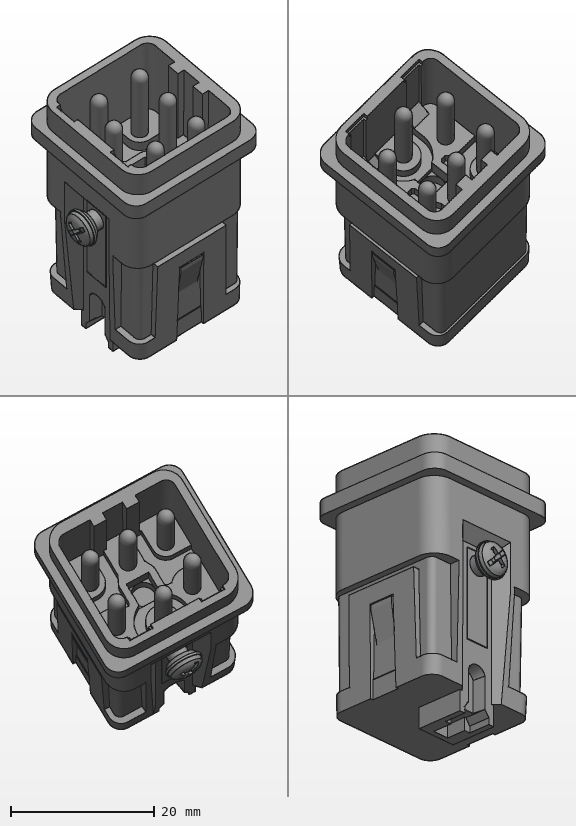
import cadquery as cq
import math

total_height = 41.1
total_depth = 24.55
rim_z = 40.95
flange_top_z = 36.93
flange_bottom_z = 34.38
cavity_floor_z = 28.05
body_bottom_z = 22.15
front_draft_z = 21.3
panel_top_z = 20.9
base_top_z = 6.58
base_bottom_z = 3.37
root_overlap = 0.4

flange_side = 23.6
flange_radius = 2.25
body_side = 20.97
body_radius = 3.1
body_front_y = -body_side / 2
draft_end_y = -9.55

column_half_x = 9.38
column_back_y = 9.83
column_front_y = -8.85
column_draft = 0.15
column_radius = 1.03

base_back_y = 10.15
base_radius = 2.0

front_pad_top_half = 5.65
front_pad_bottom_half = 5.22

panel_top_half_x = 10.4
panel_bottom_half_x = 10.0
panel_top_half_y = 6.3
panel_bottom_half_y = 6.55
channel_top_z = 18.05
channel_top_half = 2.2
channel_bottom_half = 2.45
channel_floor_x = 9.4
channel_base_floor_x = 9.55
latch_top_z = 17.85
latch_edge_z = 17.0
latch_bottom_z = 11.85
latch_top_half = 2.0
latch_bottom_half = 1.8

recess_half = 2.95
recess_top_z = 27.0
recess_flare = 1.85
tongue_front_y = -8.55
tongue_back_y = -0.65
tongue_half = 3.4
recess_depth = tongue_front_y - body_front_y
plate_half = 2.0
plate_bottom_z = 11.85
plate_top_z = 26.25
plate_thickness = 0.15

entry_half = 1.65
entry_shoulder_z = 7.3
entry_top_z = 8.5
entry_depth = 2.05
entry_taper = 8.0
entry_flare_half = 2.43
entry_flare_z = 1.05
entry_straight_z = 2.1
entry_flare_depth = 3.7
wire_hole_half = 1.4
wire_hole_depth = 7.0

screw_z = 23.97
screw_shank_radius = 1.55
screw_tip_y = flange_side / 2 - total_depth
screw_shank_root_y = -7.4
screw_flat_radius = 1.2
screw_head_back_y = -10.35
screw_head_back_radius = 2.2
screw_rim_back_y = -11.1
screw_rim_front_y = -11.47
screw_rim_radius = 2.85
screw_shoulder_radius = 2.67
screw_dome_edge_y = -12.05
screw_dome_edge_radius = 2.55
screw_dome_middle = (2.0, -12.5)
screw_drive_width = 0.7
screw_slot_length = 4.35
screw_slot_depth = 0.4
screw_cross_depth = 1.03
screw_cross_top_half = 1.7
screw_cross_bottom_half = screw_drive_width / 2

cavity_rim_size = (18.5, 17.6)
cavity_floor_size = (17.95, 17.35)
cavity_radius = 1.45
key_rib_inner_x = 1.6
key_rib_outer_x = 3.65
key_rib_front_y = 7.65
groove_floor_z = 26.4
groove_back_x = 2.15
groove_middle_x = 2.85
groove_jog_back_y = 3.55
groove_jog_front_y = 2.05
groove_tip_x = 3.85
groove_tip_chamfer = 0.3

pin_radius = 1.25
pin_flat_radius = 0.2
pin_tip_z = 40.05
pin_x = 6.1
pin_back_y = 4.45
pin_middle_y = -3.05
earth_pin_y = -5.5
earth_wall_inner_radius = 2.45
earth_wall_outer_radius = 4.1
earth_ramp_start_y = -7.35
back_well_radius = 2.15
middle_well_radius = 2.9
middle_well_arc_angle = 112

socket_side = 3.58
socket_floor_z = 25.5
socket_bore_floor_z = 23.45

window_inner_x = 4.25
window_outer_x = 7.3
window_ramp_y = -7.25
window_wall_y = -9.15
window_ramp_rise = 1.25
notch_wall_y = -9.45
notch_overhang = 0.33
notch_depth = 0.82


def rounded_rect(x_size, y_size, radius):
    return cq.Sketch().rect(x_size, y_size).vertices().fillet(radius)


def drafted_block(lower, upper, z_low, z_high, radius):
    """Loft between two (half_x, front_y, back_y) rounded rectangles."""
    sections = []
    for (half_x, front_y, back_y), z in ((lower, z_low), (upper, z_high)):
        section = rounded_rect(2 * half_x, back_y - front_y, radius)
        sections.append(section.moved(cq.Location(cq.Vector(0, (front_y + back_y) / 2, z))))
    return cq.Workplane("XY").placeSketch(*sections).loft()


def square_block(side, radius, z_low, z_high):
    plane = cq.Workplane("XY", origin=(0, 0, z_low))
    return plane.placeSketch(rounded_rect(side, side, radius)).extrude(z_high - z_low)


def box_between(x_range, y_range, z_range):
    (x0, x1), (y0, y1), (z0, z1) = x_range, y_range, z_range
    return cq.Workplane("XY").box(x1 - x0, y1 - y0, z1 - z0, centered=False).translate((x0, y0, z0))


def trapezoid(plane, bottom_half, top_half, z_low, z_high, length):
    """Trapezoid symmetric about Z, extruded both ways along the plane normal."""
    outline = [(-bottom_half, z_low), (bottom_half, z_low), (top_half, z_high), (-top_half, z_high)]
    return cq.Workplane(plane).polyline(outline).close().extrude(length / 2, both=True)


def profile_along_x(points, x0, x1):
    """Closed (y, z) outline extruded from x0 to x1."""
    return cq.Workplane("YZ", origin=(x0, 0, 0)).polyline(points).close().extrude(x1 - x0)


def both_sides(shape):
    return shape.union(shape.mirror("YZ"))


def front_draft_y(z):
    fraction = (front_draft_z - z) / (front_draft_z - base_bottom_z)
    return body_front_y + fraction * (draft_end_y - body_front_y)


def panel_half_x(z):
    fraction = (z - base_bottom_z) / (panel_top_z - base_bottom_z)
    return panel_bottom_half_x + fraction * (panel_top_half_x - panel_bottom_half_x)


def make_housing():
    body = square_block(body_side, body_radius, body_bottom_z, rim_z)
    flange = square_block(flange_side, flange_radius, flange_bottom_z, flange_top_z)
    column = drafted_block(
        (column_half_x - column_draft, column_front_y + column_draft, column_back_y),
        (column_half_x, column_front_y, column_back_y),
        base_top_z, body_bottom_z, column_radius,
    )
    base = drafted_block(
        (panel_bottom_half_x, front_draft_y(base_bottom_z), base_back_y),
        (panel_half_x(base_top_z), front_draft_y(base_top_z), base_back_y),
        base_bottom_z, base_top_z, base_radius,
    )
    pad_side = [
        (0, base_top_z),
        (front_draft_y(base_top_z), base_top_z),
        (body_front_y, front_draft_z),
        (body_front_y, body_bottom_z),
        (0, body_bottom_z),
    ]
    pad = trapezoid("XZ", front_pad_bottom_half, front_pad_top_half, base_top_z, body_bottom_z, body_side)
    pad = pad.intersect(profile_along_x(pad_side, -body_side / 2, body_side / 2))
    return body.union(flange).union(column).union(base).union(pad)


def make_side_panels():
    panel = trapezoid("XZ", panel_bottom_half_x, panel_top_half_x, base_bottom_z, panel_top_z, body_side)
    return panel.intersect(
        trapezoid("YZ", panel_bottom_half_y, panel_top_half_y, base_bottom_z, panel_top_z, body_side)
    )


def make_latch_channels():
    channel = trapezoid("YZ", channel_bottom_half, channel_top_half, base_bottom_z, channel_top_z, body_side)
    y_range = (-body_side / 2, body_side / 2)
    upper = box_between((channel_floor_x, body_side), y_range, (base_top_z, channel_top_z))
    lower = box_between((channel_base_floor_x, body_side), y_range, (base_bottom_z, base_top_z))
    return both_sides(channel.intersect(upper.union(lower)))


def make_latches():
    """Hooks in the side channels: a square top edge and a ramp running down."""
    root_x = channel_floor_x - root_overlap
    hook = (
        cq.Workplane("XZ")
        .polyline([
            (root_x, latch_top_z), (panel_top_half_x, latch_top_z), (panel_top_half_x, latch_edge_z),
            (channel_floor_x, latch_bottom_z), (root_x, latch_bottom_z),
        ])
        .close()
        .extrude(channel_bottom_half, both=True)
    )
    width = trapezoid("YZ", latch_bottom_half, latch_top_half, latch_bottom_z, latch_top_z, flange_side)
    return both_sides(hook.intersect(width))


def make_front_recess():
    """Sloped-wall recess open at the bottom, with a thin raised plate on its floor."""
    height = recess_top_z
    recess = (
        cq.Workplane("XZ", origin=(0, tongue_front_y, 0))
        .center(0, height / 2)
        .rect(2 * recess_half, height)
        .workplane(offset=recess_depth)
        .rect(2 * (recess_half + recess_flare), height + 2 * recess_flare)
        .loft()
    )
    plate = box_between(
        (-plate_half, plate_half),
        (tongue_front_y - plate_thickness, tongue_front_y),
        (plate_bottom_z, plate_top_z),
    )
    return recess.cut(plate)


def make_tongue():
    return box_between((-tongue_half, tongue_half), (tongue_front_y, tongue_back_y), (0, base_bottom_z))


def make_wire_entry():
    """Arched slot in the front of the tongue, flared and deepened at the bottom."""
    front = cq.Workplane("XZ", origin=(0, tongue_front_y, 0))
    arch = (
        front.moveTo(-entry_half, 0)
        .lineTo(-entry_half, entry_shoulder_z)
        .threePointArc((0, entry_top_z), (entry_half, entry_shoulder_z))
        .lineTo(entry_half, 0)
        .close()
        .extrude(-entry_depth, taper=entry_taper)
    )
    flare = (
        front.moveTo(-entry_flare_half, 0)
        .lineTo(-entry_flare_half, entry_flare_z)
        .lineTo(-entry_half, entry_straight_z)
        .lineTo(entry_half, entry_straight_z)
        .lineTo(entry_flare_half, entry_flare_z)
        .lineTo(entry_flare_half, 0)
        .close()
        .extrude(-entry_flare_depth)
    )
    wire_hole = box_between(
        (-wire_hole_half, wire_hole_half),
        (tongue_front_y, tongue_front_y + wire_hole_depth),
        (0, entry_straight_z),
    )
    return arch.union(flare).union(wire_hole)


def make_screw():
    """Pan-head screw pointing along -Y with a combined slot and cross drive."""
    head = (
        cq.Workplane("XY")
        .moveTo(0, screw_shank_root_y)
        .lineTo(screw_shank_radius, screw_shank_root_y)
        .lineTo(screw_shank_radius, screw_head_back_y)
        .lineTo(screw_head_back_radius, screw_head_back_y)
        .lineTo(screw_rim_radius, screw_rim_back_y)
        .lineTo(screw_rim_radius, screw_rim_front_y)
        .lineTo(screw_shoulder_radius, screw_rim_front_y)
        .lineTo(screw_dome_edge_radius, screw_dome_edge_y)
        .threePointArc(screw_dome_middle, (screw_flat_radius, screw_tip_y))
        .lineTo(0, screw_tip_y)
        .close()
        .revolve(360, (0, 0, 0), (0, 1, 0))
    )
    slot = cq.Workplane("XY").box(screw_slot_length, 2 * screw_slot_depth, screw_drive_width)
    slot = slot.translate((0, screw_tip_y, 0))
    arm = (
        cq.Workplane("XY")
        .polyline([
            (-screw_cross_top_half, screw_tip_y),
            (screw_cross_top_half, screw_tip_y),
            (screw_cross_bottom_half, screw_tip_y + screw_cross_depth),
            (-screw_cross_bottom_half, screw_tip_y + screw_cross_depth),
        ])
        .close()
        .extrude(screw_drive_width / 2, both=True)
    )
    cross_arm = arm.rotate((0, 0, 0), (0, 1, 0), 90)
    drive = slot.union(arm).union(cross_arm).rotate((0, 0, 0), (0, 1, 0), -45)
    return head.cut(drive).translate((0, 0, screw_z))


def make_cavity():
    rim_x, rim_y = cavity_rim_size
    floor_x, floor_y = cavity_floor_size
    cavity = drafted_block(
        (floor_x / 2, -floor_y / 2, floor_y / 2),
        (rim_x / 2, -rim_y / 2, rim_y / 2),
        cavity_floor_z, rim_z, cavity_radius,
    )
    key_rib = box_between(
        (key_rib_inner_x, key_rib_outer_x), (key_rib_front_y, body_side / 2), (cavity_floor_z, rim_z)
    )
    return cavity.cut(both_sides(key_rib))


def make_latch_windows():
    """Grooves in the front wall, each with a wider notch at the rim and a ramp at the floor."""
    groove = box_between((window_inner_x, window_outer_x), (window_wall_y, 0), (cavity_floor_z, rim_z))
    notch = box_between(
        (window_inner_x - notch_overhang, window_outer_x + notch_overhang),
        (notch_wall_y, 0),
        (rim_z - notch_depth, rim_z),
    )
    ramp_outline = [
        (window_ramp_y, cavity_floor_z),
        (window_wall_y, cavity_floor_z + window_ramp_rise),
        (window_wall_y, cavity_floor_z),
    ]
    ramp = profile_along_x(ramp_outline, window_inner_x, window_outer_x)
    return both_sides(groove.union(notch)), both_sides(ramp)


def make_tee_grooves():
    """Floor grooves between the side pins, following circles around those pins."""
    wall_x = cavity_floor_size[0] / 2
    back_bend_x = pin_x - back_well_radius
    back_edge_y = pin_back_y - back_well_radius
    diagonal = math.sqrt(0.5)
    middle_end_y = pin_middle_y + math.sqrt(middle_well_radius**2 - (pin_x - groove_tip_x) ** 2)
    arc_angle = math.radians(middle_well_arc_angle)
    arc_x = pin_x + middle_well_radius * math.cos(arc_angle)
    arc_y = pin_middle_y + middle_well_radius * math.sin(arc_angle)
    groove = (
        cq.Workplane("XY", origin=(0, 0, groove_floor_z))
        .moveTo(wall_x, back_edge_y)
        .lineTo(pin_x, back_edge_y)
        .threePointArc(
            (pin_x - back_well_radius * diagonal, pin_back_y - back_well_radius * diagonal),
            (back_bend_x, pin_back_y),
        )
        .lineTo(back_bend_x, key_rib_front_y)
        .lineTo(groove_back_x, key_rib_front_y)
        .lineTo(groove_back_x, groove_jog_back_y)
        .lineTo(groove_middle_x, groove_jog_front_y)
        .lineTo(groove_middle_x, middle_end_y + groove_tip_chamfer)
        .lineTo(groove_middle_x + groove_tip_chamfer, middle_end_y)
        .lineTo(groove_tip_x, middle_end_y)
        .threePointArc((arc_x, arc_y), (pin_x, pin_middle_y + middle_well_radius))
        .lineTo(wall_x, pin_middle_y + middle_well_radius)
        .close()
        .extrude(cavity_floor_z - groove_floor_z)
    )
    return both_sides(groove)


def earth_arch(radius):
    """Arch around the earth pin, open towards the front wall."""
    front_y = -cavity_floor_size[1] / 2
    return (
        cq.Workplane("XY", origin=(0, 0, groove_floor_z))
        .moveTo(-radius, front_y)
        .lineTo(-radius, earth_pin_y)
        .threePointArc((0, earth_pin_y + radius), (radius, earth_pin_y))
        .lineTo(radius, front_y)
        .close()
        .extrude(cavity_floor_z - groove_floor_z)
    )


def make_earth_groove():
    front_y = -cavity_floor_size[1] / 2
    ramp_outline = [
        (earth_ramp_start_y, groove_floor_z),
        (front_y, groove_floor_z + earth_ramp_start_y - front_y),
        (front_y, groove_floor_z),
    ]
    ramp = profile_along_x(ramp_outline, earth_wall_inner_radius, earth_wall_outer_radius)
    groove = earth_arch(earth_wall_outer_radius).cut(earth_arch(earth_wall_inner_radius))
    return groove.cut(both_sides(ramp))


def make_socket():
    """Square pocket in the middle of the floor with a round bore below it."""
    pocket = cq.Workplane("XY", origin=(0, 0, socket_floor_z)).rect(socket_side, socket_side)
    pocket = pocket.extrude(cavity_floor_z - socket_floor_z)
    bore = cq.Workplane("XY", origin=(0, 0, socket_bore_floor_z)).circle(socket_side / 2)
    return pocket.union(bore.extrude(socket_floor_z - socket_bore_floor_z))


def make_pin(x, y, tip_z):
    """Round contact pin with a domed end that has a tiny flat on top."""
    root_z = cavity_floor_z - root_overlap
    dome_height = math.sqrt(pin_radius**2 - pin_flat_radius**2)
    shoulder_z = tip_z - dome_height
    diagonal = pin_radius * math.sqrt(0.5)
    return (
        cq.Workplane("XZ")
        .moveTo(0, root_z)
        .lineTo(pin_radius, root_z)
        .lineTo(pin_radius, shoulder_z)
        .threePointArc((diagonal, shoulder_z + diagonal), (pin_flat_radius, tip_z))
        .lineTo(0, tip_z)
        .close()
        .revolve(360, (0, 0, 0), (0, 1, 0))
        .translate((x, y, 0))
    )


windows, window_ramps = make_latch_windows()

result = make_housing().union(make_side_panels()).cut(make_latch_channels()).union(make_latches())
result = result.cut(make_front_recess()).union(make_tongue()).cut(make_wire_entry())
result = result.cut(make_cavity()).cut(windows).union(window_ramps)
result = result.cut(make_tee_grooves()).cut(make_earth_groove()).cut(make_socket())

pin_places = [(x, pin_back_y) for x in (-pin_x, 0, pin_x)] + [(x, pin_middle_y) for x in (-pin_x, pin_x)]
for x, y in pin_places:
    result = result.union(make_pin(x, y, pin_tip_z))
result = result.union(make_pin(0, earth_pin_y, total_height))
result = result.union(make_screw())